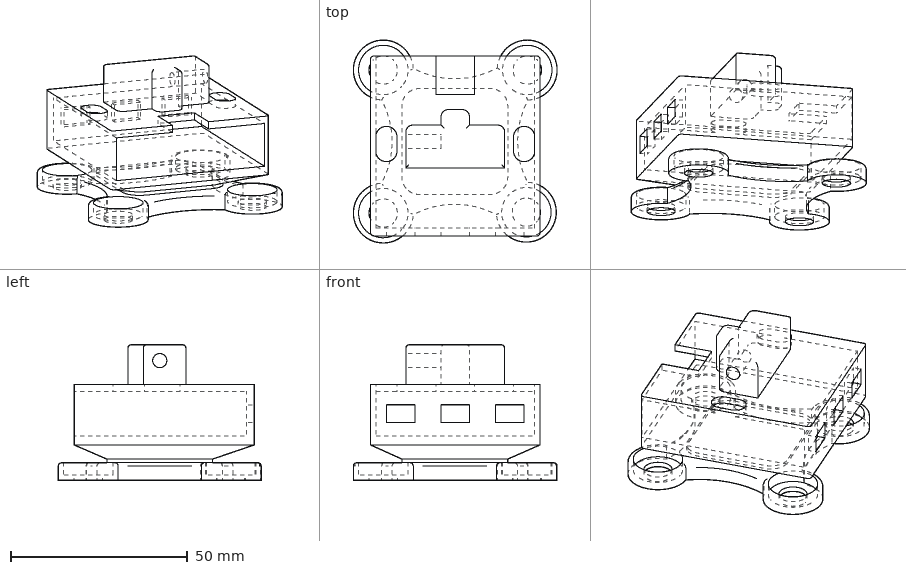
import cadquery as cq

base_height = 5.0
pad_radius = 8.5
pad_reach = 20.25
pad_offset = 0.25
web_side = 44.0
web_waist = 17.75
scallop_radius = 25.0
counterbore_diameter = 14.0
screw_hole_diameter = 8.0
pad_floor = 1.5
edge_fillet = 1.0

pad_centres = [
    (-pad_reach, -pad_reach),
    (-pad_reach, pad_reach),
    (pad_reach + pad_offset, pad_reach),
    (pad_reach, -pad_reach + pad_offset),
]

neck_side = 30.0
neck_corner_radius = 5.0
neck_top = 6.0

housing_x = 48.0
housing_y = 51.0
housing_corner_radius = 1.0
housing_bottom = 10.0
housing_top = 27.2
housing_centre = (0.125, -1.25)
housing_front = housing_centre[1] - housing_y / 2
housing_back = housing_centre[1] + housing_y / 2

side_wall = 1.5
front_wall = 2.25
cavity_floor = 12.6
cavity_ceiling = 25.1

window_width = 8.0
window_height = 5.0
window_pitch = 15.4
window_count = 3
window_centre_z = 18.9
notch_side = 11.0
slot_width = 6.0
slot_length = 10.0
slot_reach = housing_x / 2 - side_wall - slot_width / 2
slot_y = -0.7

tower_height = 11.2
tower_x = 28.0
tower_y = 12.1
tower_front = -7.45
nose_width = 8.0
nose_length = 4.4
tower_corner_radius = 2.0
pin_hole_diameter = 4.0
pin_hole_depth = 10.0
pin_hole_y = 0.0
pin_hole_z = 33.9


def rounded_block(x_size, y_size, radius, centre, height):
    """Upright block with rounded corners; centre is the middle of its bottom face."""
    return (
        cq.Workplane("XY", origin=centre)
        .rect(x_size, y_size)
        .extrude(height)
        .edges("|Z")
        .fillet(radius)
    )


def rounded_outline(x_size, y_size, radius, centre):
    """Rectangle with rounded corners, as the bottom wire of a rounded block."""
    return rounded_block(x_size, y_size, radius, centre, 1.0).faces("<Z").wires().val()


def block(x_range, y_range, z_range):
    """Axis-aligned box given by its limits."""
    return cq.Workplane("XY").box(
        x_range[1] - x_range[0],
        y_range[1] - y_range[0],
        z_range[1] - z_range[0],
        centered=False,
    ).translate((x_range[0], y_range[0], z_range[0]))


def make_web():
    scallop_centre = web_waist + scallop_radius
    scallops = (
        cq.Workplane("XY")
        .polarArray(scallop_centre, 0, 360, 4)
        .circle(scallop_radius)
        .extrude(base_height)
    )
    web = cq.Workplane("XY").rect(web_side, web_side).extrude(base_height).cut(scallops)
    return web.faces(">Z").edges("%CIRCLE").fillet(edge_fillet)


def make_base():
    pads = cq.Workplane("XY").pushPoints(pad_centres).circle(pad_radius).extrude(base_height)
    pads = pads.faces(">Z").edges().fillet(edge_fillet)
    counterbores = (
        cq.Workplane("XY", origin=(0, 0, pad_floor))
        .pushPoints(pad_centres)
        .circle(counterbore_diameter / 2)
        .extrude(base_height)
    )
    screw_holes = (
        cq.Workplane("XY").pushPoints(pad_centres).circle(screw_hole_diameter / 2).extrude(base_height)
    )
    return make_web().union(pads).cut(counterbores).cut(screw_holes)


def make_neck():
    return rounded_block(neck_side, neck_side, neck_corner_radius, (0, 0, 0), neck_top)


def make_taper():
    lower = rounded_outline(neck_side, neck_side, neck_corner_radius, (0, 0, neck_top))
    upper = rounded_outline(
        housing_x, housing_y, housing_corner_radius, (*housing_centre, housing_bottom)
    )
    return cq.Workplane(cq.Solid.makeLoft([lower, upper]))


def make_housing():
    return rounded_block(
        housing_x,
        housing_y,
        housing_corner_radius,
        (*housing_centre, housing_bottom),
        housing_top - housing_bottom,
    )


def make_cavity():
    half_width = housing_x / 2 - side_wall
    return block(
        (housing_centre[0] - half_width, housing_centre[0] + half_width),
        (housing_front + front_wall, housing_back),
        (cavity_floor, cavity_ceiling),
    )


def make_windows():
    return (
        cq.Workplane("XZ", origin=(housing_centre[0], housing_front, window_centre_z))
        .rarray(window_pitch, 1, window_count, 1)
        .rect(window_width, window_height)
        .extrude(-front_wall)
    )


def make_roof_notch():
    return block(
        (housing_centre[0] - notch_side / 2, housing_centre[0] + notch_side / 2),
        (housing_back - notch_side, housing_back),
        (cavity_ceiling, housing_top),
    )


def make_roof_slots():
    return (
        cq.Workplane("XY", origin=(housing_centre[0], slot_y, cavity_ceiling))
        .rarray(2 * slot_reach, 1, 2, 1)
        .slot2D(slot_length, slot_width, 90)
        .extrude(housing_top - cavity_ceiling)
    )


def make_tower():
    centre_x = housing_centre[0]
    z_range = (housing_top, housing_top + tower_height)
    tower_back = tower_front + tower_y
    body = block((centre_x - tower_x / 2, centre_x + tower_x / 2), (tower_front, tower_back), z_range)
    nose = block(
        (centre_x - nose_width / 2, centre_x + nose_width / 2),
        (tower_front, tower_back + nose_length),
        z_range,
    )
    body = body.edges("|Z and >Y").fillet(tower_corner_radius)
    nose = nose.edges("|Z and >Y").fillet(tower_corner_radius)
    tower = body.union(nose).faces(">Z").edges().fillet(edge_fillet)
    pin_hole = (
        cq.Workplane("YZ", origin=(centre_x - tower_x / 2, pin_hole_y, pin_hole_z))
        .circle(pin_hole_diameter / 2)
        .extrude(pin_hole_depth)
    )
    return tower.cut(pin_hole)


result = (
    make_base()
    .union(make_neck())
    .union(make_taper())
    .union(make_housing())
    .cut(make_cavity())
    .cut(make_windows())
    .cut(make_roof_notch())
    .cut(make_roof_slots())
    .union(make_tower())
)